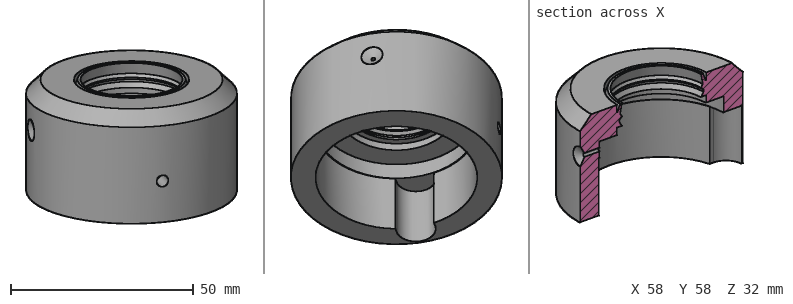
import cadquery as cq
import math

height = 32.0
outer_radius = 29.0
top_chamfer = 4.0

lip_tip_radius = 14.0
lip_top_width = 0.8
relief_radius = 15.8
relief_depth = 2.5
lip_root_radius = 14.6
lip_length = 3.2

second_edge_depth = 4.15
recess_radius = 14.85
recess_top_depth = 5.0
recess_bottom_depth = 5.65
third_edge_depth = 7.1

neck_radius = 15.8
neck_end_depth = 9.4
seat_radius = 22.0
seat_end_depth = 14.3
bore_radius = 22.2

keyway_width = 10.9
keyway_round_center = 22.9

cross_hole_diameter = 3.3
cross_hole_height = 12.0

dimple_diameter = 6.0
dimple_angle = 120.0
bleed_diameter = 1.0
dimple_height = 20.2


def make_body():
    """Revolve the half section of the ring about Z."""

    def level(depth):
        return height - depth

    section = [
        (bore_radius, 0),
        (outer_radius, 0),
        (outer_radius, level(top_chamfer)),
        (outer_radius - top_chamfer, height),
        (relief_radius, height),
        (relief_radius, level(relief_depth)),
        (lip_tip_radius + lip_top_width, height),
        (lip_tip_radius, height),
        (lip_root_radius, level(lip_length)),
        (lip_tip_radius, level(second_edge_depth)),
        (recess_radius, level(recess_top_depth)),
        (recess_radius, level(recess_bottom_depth)),
        (lip_tip_radius, level(third_edge_depth)),
        (neck_radius, level(third_edge_depth)),
        (neck_radius, level(neck_end_depth)),
        (seat_radius, level(neck_end_depth)),
        (seat_radius, level(seat_end_depth)),
        (bore_radius, level(seat_end_depth)),
    ]
    return cq.Workplane("XZ").polyline(section).close().revolve(360, (0, 0), (0, 1))


def make_cross_hole():
    """Straight hole that crosses the whole ring along X."""
    return (
        cq.Workplane("YZ", origin=(-outer_radius, 0, cross_hole_height))
        .circle(cross_hole_diameter / 2)
        .extrude(2 * outer_radius)
    )


def make_dimple():
    """Conical sink in the -Y wall, ending in a bleed hole that reaches the bore."""
    rim = dimple_diameter / 2
    tip = bleed_diameter / 2
    cone_depth = (rim - tip) / math.tan(math.radians(dimple_angle / 2))
    cone_start = -math.sqrt(outer_radius**2 - rim**2)
    section = [
        (0, -outer_radius),
        (rim, -outer_radius),
        (rim, cone_start),
        (tip, cone_start + cone_depth),
        (tip, -lip_tip_radius),
        (0, -lip_tip_radius),
    ]
    return (
        cq.Workplane("XY", origin=(0, 0, dimple_height))
        .polyline(section)
        .close()
        .revolve(360, (0, 0), (0, 1))
    )


def make_keyway():
    """Straight-walled keyway with a full-round end, from the bottom face up to the seat."""
    half_width = keyway_width / 2
    return (
        cq.Workplane("XY")
        .moveTo(-half_width, 0)
        .lineTo(half_width, 0)
        .lineTo(half_width, keyway_round_center)
        .threePointArc((0, keyway_round_center + half_width), (-half_width, keyway_round_center))
        .close()
        .extrude(height - seat_end_depth)
    )


body = make_body()
result = body.cut(make_keyway()).cut(make_cross_hole()).cut(make_dimple())